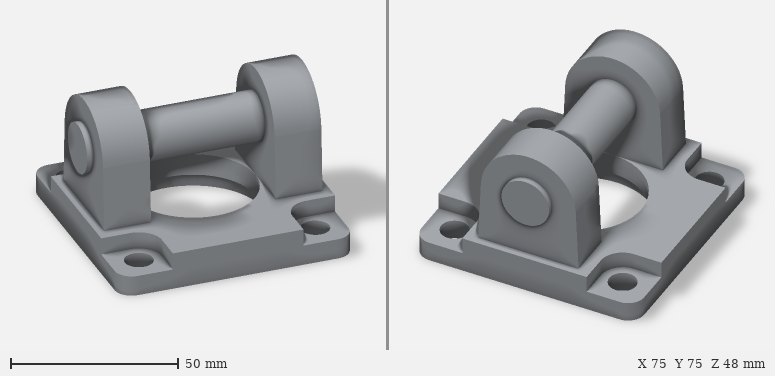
import cadquery as cq
import math

plate_side = 75.0
plate_height = 12.0
plate_corner_radius = 5.5
bore_diameter = 40.0
recess_diameter = 45.0
recess_depth = 5.0

hole_spacing = 56.55
hole_diameter = 9.0
seat_radius = 7.35
seat_height = 6.5

lug_radius = 16.0
lug_base_width = 33.8
lug_outer_span = 70.0
lug_inner_span = 40.0
pin_diameter = 16.0
pin_length = 74.0
total_height = 48.0
pin_height = total_height - lug_radius


def make_plate():
    plate = (
        cq.Workplane("XY")
        .rect(plate_side, plate_side)
        .extrude(plate_height)
        .edges("|Z")
        .fillet(plate_corner_radius)
    )
    bore = cq.Workplane("XY").circle(bore_diameter / 2).extrude(plate_height)
    recess = cq.Workplane("XY").circle(recess_diameter / 2).extrude(recess_depth)
    return plate.cut(bore).cut(recess)


def cut_corner_seats(plate):
    """Lower each corner around its mounting hole, open to both outer sides."""
    hole_offset = hole_spacing / 2
    seat_inner = hole_offset - seat_radius
    seat_side = plate_side / 2 - seat_inner
    seat_centre = seat_inner + seat_side / 2
    for x_sign in (-1, 1):
        for y_sign in (-1, 1):
            inner_edge = ("<X" if x_sign > 0 else ">X") + " and " + ("<Y" if y_sign > 0 else ">Y")
            seat = (
                cq.Workplane("XY", origin=(x_sign * seat_centre, y_sign * seat_centre, seat_height))
                .rect(seat_side, seat_side)
                .extrude(plate_height - seat_height)
                .edges("|Z and (" + inner_edge + ")")
                .fillet(seat_radius)
            )
            hole = (
                cq.Workplane("XY", origin=(x_sign * hole_offset, y_sign * hole_offset, 0))
                .circle(hole_diameter / 2)
                .extrude(plate_height)
            )
            plate = plate.cut(seat).cut(hole)
    return plate


def bar_along_y(profile, length):
    """Extrude an XZ-plane profile symmetrically about Y = 0."""
    return profile.extrude(length / 2, both=True)


def make_lugs():
    """Two lugs with flanks leaning inward, tangent to the round top."""
    base_half = lug_base_width / 2
    rise = pin_height - plate_height
    distance = math.hypot(base_half, rise)
    tangent_angle = math.acos(lug_radius / distance) - math.atan2(rise, base_half)
    tangent_x = lug_radius * math.cos(tangent_angle)
    tangent_z = pin_height + lug_radius * math.sin(tangent_angle)
    profile = (
        cq.Workplane("XZ")
        .moveTo(-base_half, plate_height)
        .lineTo(base_half, plate_height)
        .lineTo(tangent_x, tangent_z)
        .threePointArc((0, total_height), (-tangent_x, tangent_z))
        .close()
    )
    gap = cq.Workplane("XY").box(plate_side, lug_inner_span, 2 * total_height)
    return bar_along_y(profile, lug_outer_span).cut(gap)


def make_pin():
    profile = cq.Workplane("XZ").center(0, pin_height).circle(pin_diameter / 2)
    return bar_along_y(profile, pin_length)


result = cut_corner_seats(make_plate()).union(make_lugs()).union(make_pin())